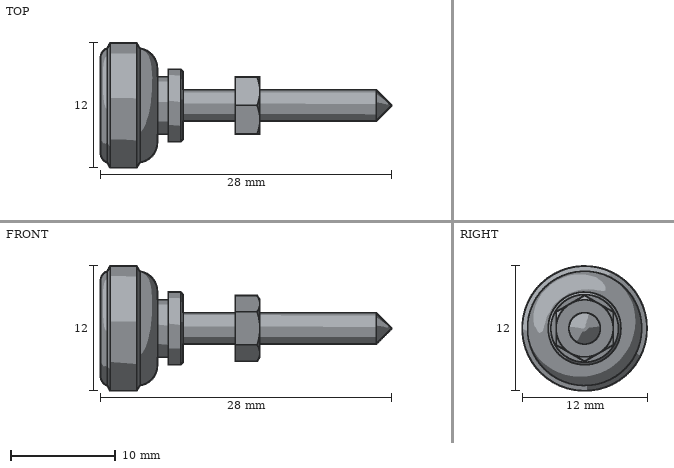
import cadquery as cq
import math

total_length = 28.0
shaft_radius = 1.5
tip_length = 1.5

head_diameter = 12.0
head_radius = head_diameter / 2
face_radius = 4.55
band_start = 0.92
band_end = 3.47
front_round = 1.0
front_round_end = 0.67
dome_start = 3.8
head_length = 5.5
dome_round = 2.0
dome_center_radius = 3.53

neck_radius = 2.77
flange_start = 6.5
flange_end = 7.95
flange_radius = 3.5
flange_chamfer = 0.25

nut_start = 12.95
nut_length = 2.38
nut_across_flats = 5.5
nut_chamfer_radius = 2.75
nut_bevel_depth = 0.25


def arc_point(center, radius, angle):
    """Point on a circle, with the angle measured from the X axis."""
    return (center[0] + radius * math.cos(angle), center[1] + radius * math.sin(angle))


def make_screw():
    """Revolve the half profile of head, neck, flange and pointed shaft about X."""
    front_center = (front_round, face_radius)
    front_end_angle = math.acos((front_round_end - front_round) / front_round)
    front_mid = arc_point(front_center, front_round, (front_end_angle + math.pi) / 2)
    front_end = arc_point(front_center, front_round, front_end_angle)

    dome_center = (head_length - dome_round, dome_center_radius)
    dome_start_angle = math.acos((dome_start - dome_center[0]) / dome_round)
    dome_begin = arc_point(dome_center, dome_round, dome_start_angle)
    dome_mid = arc_point(dome_center, dome_round, dome_start_angle / 2)

    return (
        cq.Workplane("XY")
        .moveTo(0, 0)
        .lineTo(0, face_radius)
        .threePointArc(front_mid, front_end)
        .lineTo(band_start, head_radius)
        .lineTo(band_end, head_radius)
        .lineTo(*dome_begin)
        .threePointArc(dome_mid, (head_length, dome_center_radius))
        .lineTo(head_length, neck_radius)
        .lineTo(flange_start, neck_radius)
        .lineTo(flange_start, flange_radius)
        .lineTo(flange_end - flange_chamfer, flange_radius)
        .lineTo(flange_end, flange_radius - flange_chamfer)
        .lineTo(flange_end, shaft_radius)
        .lineTo(total_length - tip_length, shaft_radius)
        .lineTo(total_length, 0)
        .close()
        .revolve(360, (0, 0, 0), (1, 0, 0))
    )


def make_nut():
    """Hexagon with corners on +Z and -Z, bored for the shaft and bevelled at the rear."""
    corner_radius = nut_across_flats / math.sqrt(3)
    corners = [
        (corner_radius * math.sin(i * math.pi / 3), corner_radius * math.cos(i * math.pi / 3))
        for i in range(6)
    ]
    hexagon = (
        cq.Workplane("YZ", origin=(nut_start, 0, 0))
        .polyline(corners)
        .close()
        .circle(shaft_radius)
        .extrude(nut_length)
    )
    nut_end = nut_start + nut_length
    bevel_envelope = (
        cq.Workplane("XY")
        .moveTo(nut_start, 0)
        .lineTo(nut_start, corner_radius)
        .lineTo(nut_end - nut_bevel_depth, corner_radius)
        .lineTo(nut_end, nut_chamfer_radius)
        .lineTo(nut_end, 0)
        .close()
        .revolve(360, (0, 0, 0), (1, 0, 0))
    )
    return hexagon.intersect(bevel_envelope)


screw = make_screw()
nut = make_nut()
result = cq.Compound.makeCompound([screw.val(), nut.val()])